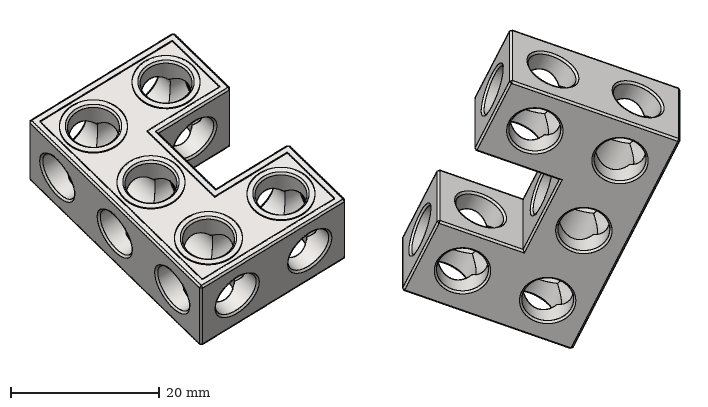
import cadquery as cq

length = 37.5
columns = 3
rows = 2
pitch = length / columns
height = pitch

edge_chamfer = 0.3
bore_diameter = 7.0
bore_chamfer = 0.3
mouth_diameter = bore_diameter + 2 * bore_chamfer

rim_width = 1.1
collar_diameter = 9.2
recess_depth = 0.2

half_length = length / 2
half_depth = rows * pitch / 2
half_notch = pitch / 2
column_xs = [(i - (columns - 1) / 2) * pitch for i in range(columns)]
row_ys = [(j - (rows - 1) / 2) * pitch for j in range(rows)]
front_row_y, back_row_y = row_ys
left_x, middle_x, right_x = column_xs
cell_centers = [(x, front_row_y) for x in column_xs] + [(left_x, back_row_y), (right_x, back_row_y)]


def u_outline(inset):
    """U-shaped outline, open towards +Y, moved inwards by inset."""
    outer_x = half_length - inset
    outer_y = half_depth - inset
    notch_x = half_notch + inset
    notch_y = -inset
    return [
        (-outer_x, -outer_y),
        (outer_x, -outer_y),
        (outer_x, outer_y),
        (notch_x, outer_y),
        (notch_x, notch_y),
        (-notch_x, notch_y),
        (-notch_x, outer_y),
        (-outer_x, outer_y),
    ]


def make_body():
    """U-shaped block with chamfered edges; the notch's inner corners stay sharp."""
    block = cq.Workplane("XY").polyline(u_outline(0)).close().extrude(height)
    outer_corners = block.edges("|Z and (<Y or >Y)")
    return outer_corners.add(block.faces("|Z").edges()).chamfer(edge_chamfer)


def make_top_recess():
    """Recess cutter: the inset outline with the collars left standing."""
    floor = cq.Workplane("XY").workplane(offset=height - recess_depth)
    recess = floor.polyline(u_outline(rim_width)).close().extrude(recess_depth)
    collars = floor.pushPoints(cell_centers).circle(collar_diameter / 2).extrude(recess_depth)
    return recess.cut(collars)


def make_bore(start, direction, span):
    """Bore cutter of length span, widened by a chamfer at both ends."""
    start = cq.Vector(*start)
    direction = cq.Vector(*direction)
    end = start + direction * span
    bore_radius = bore_diameter / 2
    mouth_radius = mouth_diameter / 2
    bore = cq.Solid.makeCylinder(bore_radius, span, start, direction)
    near_cone = cq.Solid.makeCone(mouth_radius, bore_radius, bore_chamfer, start, direction)
    far_cone = cq.Solid.makeCone(mouth_radius, bore_radius, bore_chamfer, end, -direction)
    return bore.fuse(near_cone, far_cone)


def make_bores():
    """Bores along all three axes through every cell, chamfered where they meet an outer wall."""
    mid_height = height / 2
    front_y = -half_depth
    cutters = [make_bore((x, y, 0), (0, 0, 1), height) for x, y in cell_centers]
    for x in column_xs:
        depth = pitch if x == middle_x else rows * pitch
        cutters.append(make_bore((x, front_y, mid_height), (0, 1, 0), depth))
    cutters.append(make_bore((-half_length, front_row_y, mid_height), (1, 0, 0), length))
    for arm_x in (-half_length, half_notch):
        cutters.append(make_bore((arm_x, back_row_y, mid_height), (1, 0, 0), pitch))
    return cutters


result = make_body().cut(make_top_recess())
for cutter in make_bores():
    result = result.cut(cq.Workplane(obj=cutter))